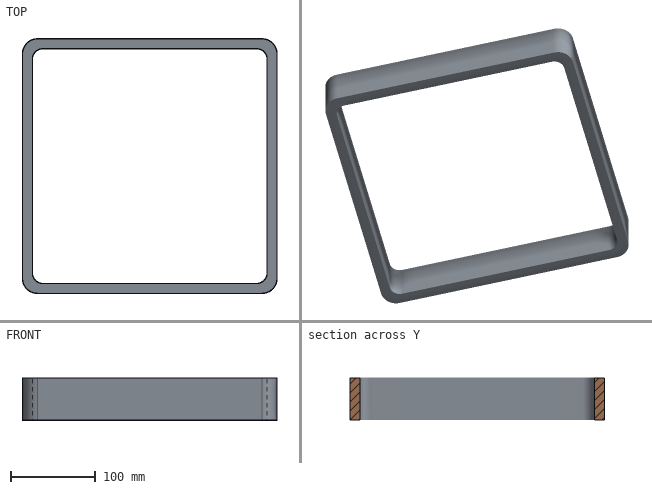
import cadquery as cq

side = 300.0
height = 50.0
wall = 12.0
outer_radius = 18.0
inner_radius = 12.0


def rounded_square_prism(width, corner_radius):
    """Square prism standing on Z = 0 with rounded vertical edges."""
    return (
        cq.Workplane("XY")
        .rect(width, width)
        .extrude(height)
        .edges("|Z")
        .fillet(corner_radius)
    )


outer_body = rounded_square_prism(side, outer_radius)
opening = rounded_square_prism(side - 2 * wall, inner_radius)

result = outer_body.cut(opening)